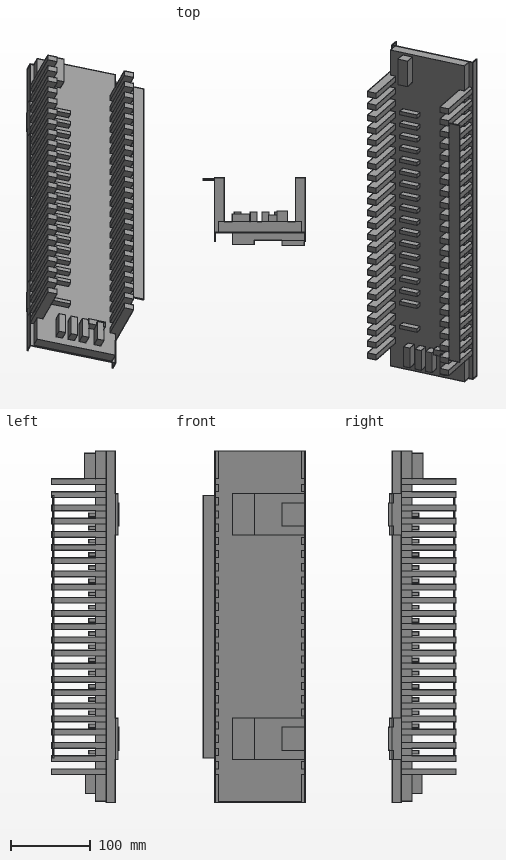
import cadquery as cq


PANEL_HEIGHT = 440.0
PANEL_WIDTH = 113.5
SHEET = 1.0
FLANGE_DEPTH = 12.0

CLIP_SPACING = 280.5
CLIP_HEIGHT = 52.0
CLIP_WIDTH = 90.0
CLIP_DEPTH = 10.0
CLIP_HEAD_WIDTH = 27.5
CLIP_HEAD_DEPTH = 15.5
PAD_WIDTH = 28.0
PAD_HEIGHT = 29.0
PAD_DEPTH = 16.5

BOARD_DEPTH = 13.0
BOARD_LEFT_INSET = 5.5
BOARD_WIDTH = 103.5
BOARD_FOOT_GAP = 1.5

FINGER_COUNT = 23
FINGER_PITCH = 16.5
FINGER_HEIGHT = 7.5
FINGER_WIDTH = 12.5
FINGER_LENGTH = 68.0

STRIP_WIDTH = 14.0
STRIP_THICKNESS = 2.0
STRIP_TIP_GAP = 1.5
STRIP_LENGTH = 328.5

CONTACT_GAPS = [*range(2, 19), 20]
CONTACT_LEFT = 10.5
CONTACT_RISE = 8.5
CONTACT_HEIGHT = 5.0
CONTACT_DROP = 0.5

HEAD_BLOCK_LEFT = 21.0
HEAD_BLOCK_WIDTH = 13.5
HEAD_BLOCK_RISE = 13.5
HEAD_BLOCK_TOP_GAP = 3.0

POST_LEFTS = [-32.0, -12.5, 2.5, 18.5]
POST_WIDTH = 9.0
POST_RISE = 12.5
POST_FOOT = 11.0
CROSSBAR_LEFT = -34.8
CROSSBAR_WIDTH = 22.0
CROSSBAR_RISE = 9.5

PANEL_LEFT = -PANEL_WIDTH / 2
PANEL_RIGHT = PANEL_WIDTH / 2
MID_HEIGHT = PANEL_HEIGHT / 2
TOP_FINGER_Z = MID_HEIGHT + (FINGER_COUNT - 1) / 2 * FINGER_PITCH
BOTTOM_FINGER_Z = PANEL_HEIGHT - TOP_FINGER_Z


def block(x_start, x_end, y_start, y_end, z_start, z_end):
    """A rectangular block between two limits on each axis."""
    size = (x_end - x_start, y_end - y_start, z_end - z_start)
    return cq.Workplane("XY").box(*size, centered=False).translate((x_start, y_start, z_start))


def board_block(x_start, width, rise, z_start, z_end):
    """A block standing on the back of the board."""
    return block(x_start, x_start + width, BOARD_DEPTH, BOARD_DEPTH + rise, z_start, z_end)


def clip(z_centre):
    """A clip with a deep head on its left and a raised pad on its right, inside the right flange."""
    right = PANEL_RIGHT - SHEET
    left = right - CLIP_WIDTH
    z_start = z_centre - CLIP_HEIGHT / 2
    z_end = z_centre + CLIP_HEIGHT / 2
    body = block(left, right, -CLIP_DEPTH, -SHEET, z_start, z_end)
    head = block(left, left + CLIP_HEAD_WIDTH, -CLIP_HEAD_DEPTH, -SHEET, z_start, z_end)
    pad_z = z_centre - PAD_HEIGHT / 2
    pad = block(right - PAD_WIDTH, right, -PAD_DEPTH, -CLIP_DEPTH, pad_z, pad_z + PAD_HEIGHT)
    return body.union(head).union(pad)


def make_mounting_panel():
    panel = block(PANEL_LEFT, PANEL_RIGHT, -SHEET, 0, 0, PANEL_HEIGHT)
    for x_start in (PANEL_LEFT, PANEL_RIGHT - SHEET):
        flange = block(x_start, x_start + SHEET, -FLANGE_DEPTH, 0, 0, PANEL_HEIGHT)
        panel = panel.union(flange)
    for side in (-1, 1):
        panel = panel.union(clip(MID_HEIGHT + side * CLIP_SPACING / 2))
    return panel


def add_fingers(body):
    for index in range(FINGER_COUNT):
        z_start = TOP_FINGER_Z - index * FINGER_PITCH - FINGER_HEIGHT / 2
        z_end = z_start + FINGER_HEIGHT
        for x_start in (PANEL_LEFT, PANEL_RIGHT - FINGER_WIDTH):
            finger = block(x_start, x_start + FINGER_WIDTH, 0, FINGER_LENGTH, z_start, z_end)
            body = body.union(finger)
    return body


def add_label_strip(body):
    y_end = FINGER_LENGTH - STRIP_TIP_GAP
    z_start = MID_HEIGHT - STRIP_LENGTH / 2
    z_end = z_start + STRIP_LENGTH
    strip = block(PANEL_LEFT - STRIP_WIDTH, PANEL_LEFT, y_end - STRIP_THICKNESS, y_end, z_start, z_end)
    return body.union(strip)


def add_contacts(body):
    width = HEAD_BLOCK_LEFT + HEAD_BLOCK_WIDTH - CONTACT_LEFT
    for gap in CONTACT_GAPS:
        z_centre = TOP_FINGER_Z - (gap + 0.5) * FINGER_PITCH - CONTACT_DROP
        z_start = z_centre - CONTACT_HEIGHT / 2
        body = body.union(board_block(CONTACT_LEFT, width, CONTACT_RISE, z_start, z_start + CONTACT_HEIGHT))
    return body


def add_end_terminals(body):
    """The head block and the foot posts, which end level with the outermost fingers' centrelines."""
    head_top = PANEL_HEIGHT - HEAD_BLOCK_TOP_GAP
    body = body.union(board_block(HEAD_BLOCK_LEFT, HEAD_BLOCK_WIDTH, HEAD_BLOCK_RISE, TOP_FINGER_Z, head_top))
    for x_start in POST_LEFTS:
        body = body.union(board_block(x_start, POST_WIDTH, POST_RISE, POST_FOOT, BOTTOM_FINGER_Z))
    bar_top = BOTTOM_FINGER_Z + FINGER_HEIGHT / 2
    bar = board_block(CROSSBAR_LEFT, CROSSBAR_WIDTH, CROSSBAR_RISE, bar_top - FINGER_HEIGHT, bar_top)
    return body.union(bar)


def make_wiring_block():
    board_left = PANEL_LEFT + BOARD_LEFT_INSET
    body = block(board_left, board_left + BOARD_WIDTH, 0, BOARD_DEPTH, BOARD_FOOT_GAP, PANEL_HEIGHT)
    body = add_fingers(body)
    body = add_label_strip(body)
    body = add_contacts(body)
    return add_end_terminals(body)


mounting_panel = make_mounting_panel()
wiring_block = make_wiring_block()

result = cq.Compound.makeCompound([mounting_panel.val(), wiring_block.val()])